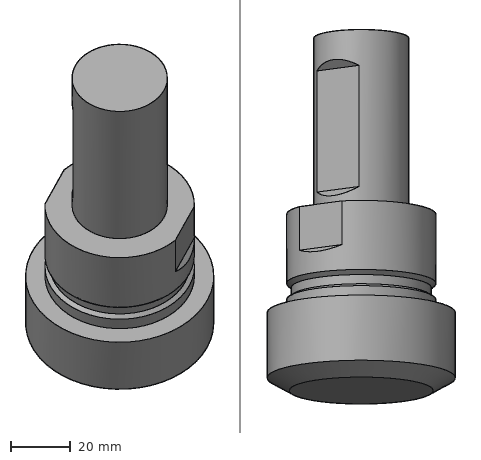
import cadquery as cq

total_height = 120.0
head_diameter = 63.0
head_height = 26.5
head_chamfer_height = 4.3
head_chamfer_width = 7.5
collar_diameter = 50.0
collar_top = 60.0
shank_diameter = 31.9

groove_bottom = 31.0
groove_top = 36.5
groove_diameter = 46.9
groove_lower_slope_height = 1.0
groove_upper_slope_height = 1.5

wrench_flat_width = 46.9
wrench_flat_bottom = 45.1

clamp_flat_x = -13.5
clamp_flat_bottom = 66.5
clamp_flat_top = 107.8

head_radius = head_diameter / 2
collar_radius = collar_diameter / 2
shank_radius = shank_diameter / 2
groove_radius = groove_diameter / 2
cut_margin = 1.2


def turned_body():
    """Revolve the half profile of head, grooved collar and shank about Z."""
    profile = [
        (0, 0),
        (head_radius - head_chamfer_width, 0),
        (head_radius, head_chamfer_height),
        (head_radius, head_height),
        (collar_radius, head_height),
        (collar_radius, groove_bottom),
        (groove_radius, groove_bottom + groove_lower_slope_height),
        (groove_radius, groove_top - groove_upper_slope_height),
        (collar_radius, groove_top),
        (collar_radius, collar_top),
        (shank_radius, collar_top),
        (shank_radius, total_height),
        (0, total_height),
    ]
    return cq.Workplane("XZ").polyline(profile).close().revolve(360, (0, 0), (0, 1))


def wrench_flat_cutter(side):
    """Cutter for one flat, open at the collar top with a 45 degree run-out below."""
    flat_x = wrench_flat_width / 2
    outer_x = collar_radius + cut_margin
    runout = outer_x - flat_x
    outline = [
        (side * flat_x, collar_top),
        (side * flat_x, wrench_flat_bottom),
        (side * outer_x, wrench_flat_bottom - runout),
        (side * outer_x, collar_top),
    ]
    return cq.Workplane("XZ").polyline(outline).close().extrude(head_radius, both=True)


def clamp_flat_cutter():
    """Cutter for the shank flat with 45 degree run-outs at both ends."""
    outer_x = -shank_radius - cut_margin
    runout = clamp_flat_x - outer_x
    outline = [
        (clamp_flat_x, clamp_flat_bottom),
        (clamp_flat_x, clamp_flat_top),
        (outer_x, clamp_flat_top + runout),
        (outer_x, clamp_flat_bottom - runout),
    ]
    return cq.Workplane("XZ").polyline(outline).close().extrude(shank_radius, both=True)


result = turned_body()
for side in (-1, 1):
    result = result.cut(wrench_flat_cutter(side))
result = result.cut(clamp_flat_cutter())